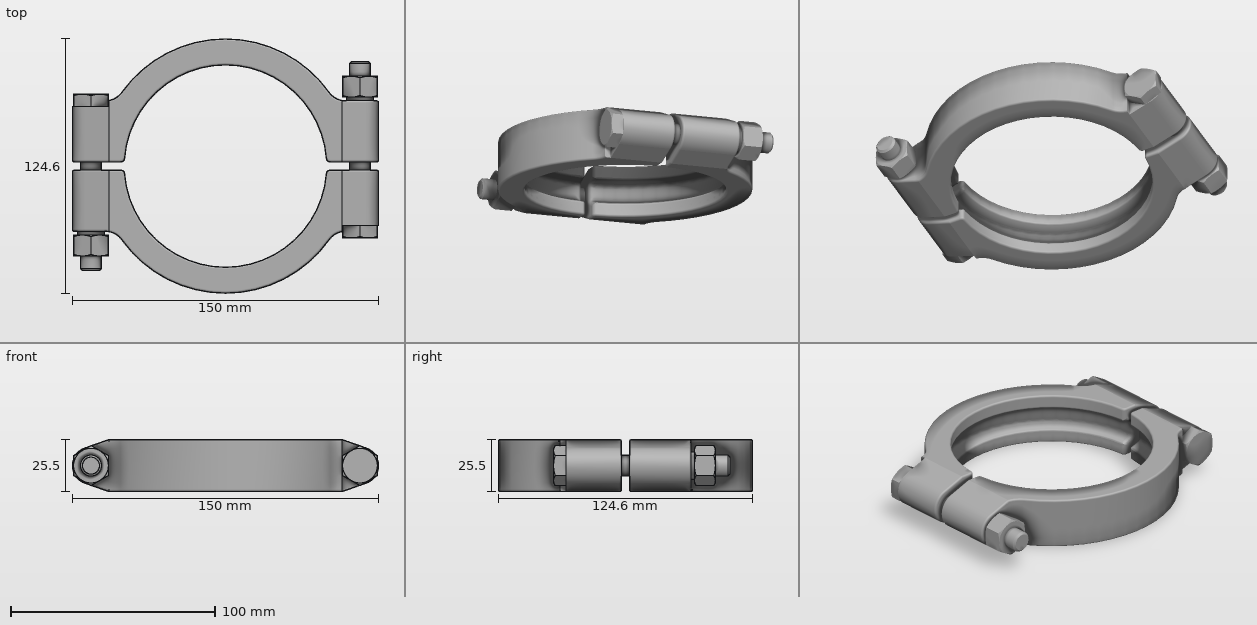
import cadquery as cq
import math

HEIGHT = 25.5
OUTER_RADIUS = 62.3
BORE_RADIUS = 49.5
HALF_GAP = 2.0
EDGE_FILLET = 1.0
INNER_GAP_FILLET = 1.9

BOLT_X = 65.87
LUG_RADIUS = 9.13
LUG_END_Y = 32.0
TAPER_START_X = 57.15
BLEND_RADIUS = 10.0
HEAD_SEAT_Y = 29.2

GROOVE_RADIUS = 55.3
GROOVE_MOUTH_HALF_WIDTH = 6.2
GROOVE_TAPER_ANGLE = 20.0
GROOVE_ROOT_FILLET = 2.0

BOLT_DIAMETER = 10.3
BOLT_END_Y = 51.2
BOLT_END_CHAMFER = 1.0
ACROSS_FLATS = 17.0
HEAD_HEIGHT = 6.0
NUT_HEIGHT = 10.2
WASHER_DIAMETER = 13.4
WASHER_THICKNESS = 1.8
HEX_CHAMFER_ANGLE = 30.0

TOLERANCE = 0.01
LUG_OUTER_X = BOLT_X + LUG_RADIUS


def make_plan():
    """Outline of the +Y half with both lugs, before boring, full height."""
    blend_y = LUG_END_Y + BLEND_RADIUS
    blend_x = math.sqrt((OUTER_RADIUS + BLEND_RADIUS) ** 2 - blend_y**2)
    touch_scale = OUTER_RADIUS / (OUTER_RADIUS + BLEND_RADIUS)
    touch_x = blend_x * touch_scale
    touch_y = blend_y * touch_scale
    blend_mid_angle = (math.pi / 2 + math.atan2(blend_y, blend_x)) / 2
    mid_x = blend_x - BLEND_RADIUS * math.cos(blend_mid_angle)
    mid_y = blend_y - BLEND_RADIUS * math.sin(blend_mid_angle)
    return (
        cq.Workplane("XY", origin=(0, 0, -HEIGHT / 2))
        .moveTo(-LUG_OUTER_X, HALF_GAP)
        .lineTo(LUG_OUTER_X, HALF_GAP)
        .lineTo(LUG_OUTER_X, LUG_END_Y)
        .lineTo(blend_x, LUG_END_Y)
        .threePointArc((mid_x, mid_y), (touch_x, touch_y))
        .threePointArc((0, OUTER_RADIUS), (-touch_x, touch_y))
        .threePointArc((-mid_x, mid_y), (-blend_x, LUG_END_Y))
        .lineTo(-LUG_OUTER_X, LUG_END_Y)
        .close()
        .extrude(HEIGHT)
    )


def make_lug_profile():
    """Bar along Y with the taper and round end of the lug on the +X side."""
    half_height = HEIGHT / 2
    inset = BOLT_X - TAPER_START_X
    corner_angle = math.pi - math.atan2(half_height, inset)
    corner_distance = math.hypot(inset, half_height)
    tangent_angle = corner_angle - math.acos(LUG_RADIUS / corner_distance)
    tangent_x = BOLT_X + LUG_RADIUS * math.cos(tangent_angle)
    tangent_z = LUG_RADIUS * math.sin(tangent_angle)
    return (
        cq.Workplane("XZ")
        .moveTo(TAPER_START_X, half_height)
        .lineTo(tangent_x, tangent_z)
        .threePointArc((LUG_OUTER_X, 0), (tangent_x, -tangent_z))
        .lineTo(TAPER_START_X, -half_height)
        .close()
        .extrude(-OUTER_RADIUS)
    )


def make_bore_cutter():
    """Bore with a groove that narrows outward, rounded at its root."""
    root_depth = GROOVE_RADIUS - BORE_RADIUS
    root_half_width = GROOVE_MOUTH_HALF_WIDTH - root_depth * math.tan(math.radians(GROOVE_TAPER_ANGLE))
    cutter = (
        cq.Workplane("XZ")
        .moveTo(0, -HEIGHT)
        .lineTo(BORE_RADIUS, -HEIGHT)
        .lineTo(BORE_RADIUS, -GROOVE_MOUTH_HALF_WIDTH)
        .lineTo(GROOVE_RADIUS, -root_half_width)
        .lineTo(GROOVE_RADIUS, root_half_width)
        .lineTo(BORE_RADIUS, GROOVE_MOUTH_HALF_WIDTH)
        .lineTo(BORE_RADIUS, HEIGHT)
        .lineTo(0, HEIGHT)
        .close()
        .revolve(360, (0, 0, 0), (0, 1, 0))
    )
    root_edges = cq.selectors.RadiusNthSelector(-1)
    return cutter.edges(root_edges).fillet(GROOVE_ROOT_FILLET)


def make_mouth_cutter():
    """Ring that rounds the lower edge where the groove opens into the bore."""
    taper = math.radians(GROOVE_TAPER_ANGLE)
    tangent_length = EDGE_FILLET * math.tan((math.pi / 2 - taper) / 2)
    center_x = BORE_RADIUS + EDGE_FILLET
    center_z = -GROOVE_MOUTH_HALF_WIDTH - tangent_length

    def arc_point(angle):
        return (center_x + EDGE_FILLET * math.cos(angle), center_z + EDGE_FILLET * math.sin(angle))

    bore_angle = math.pi
    flank_angle = math.pi / 2 + taper
    open_corner = (BORE_RADIUS - EDGE_FILLET, -GROOVE_MOUTH_HALF_WIDTH + EDGE_FILLET)
    return (
        cq.Workplane("XZ")
        .moveTo(*arc_point(bore_angle))
        .threePointArc(arc_point((bore_angle + flank_angle) / 2), arc_point(flank_angle))
        .lineTo(*open_corner)
        .close()
        .revolve(360, (0, 0, 0), (0, 1, 0))
    )


def is_inner_gap_edge(edge):
    """True for the edges between the gap faces and the bore or groove."""
    box = edge.BoundingBox()
    on_gap_face = box.ymax < HALF_GAP + TOLERANCE
    reach = max(abs(box.xmin), abs(box.xmax))
    return on_gap_face and box.zlen > TOLERANCE and reach < GROOVE_RADIUS + TOLERANCE


def is_flat_face_edge(edge):
    """True for the outline of the flat faces, except where the lugs join."""
    box = edge.BoundingBox()
    on_flat_face = box.zlen < TOLERANCE and abs(box.zmax) > HEIGHT / 2 - TOLERANCE
    on_lug_joint = box.xlen < TOLERANCE
    return on_flat_face and not on_lug_joint


def fillet_matching(body, is_wanted, radius):
    """Fillet every edge of the body that passes the test."""
    wanted = [edge for edge in body.edges().vals() if is_wanted(edge)]
    return body.newObject(wanted).fillet(radius)


def make_ring_half():
    """Grooved half ring between the two lugs."""
    clip = cq.Workplane("XY").box(2 * TAPER_START_X, 4 * OUTER_RADIUS, HEIGHT)
    ring = make_plan().intersect(clip).cut(make_bore_cutter())
    ring = fillet_matching(ring, is_inner_gap_edge, INNER_GAP_FILLET)
    ring = fillet_matching(ring, is_flat_face_edge, EDGE_FILLET)
    mouth_cutter = make_mouth_cutter()
    return ring.cut(mouth_cutter).cut(mouth_cutter.mirror("XY"))


def is_lug_rim(edge):
    """True for the rims at both lug ends, except where the ring joins."""
    box = edge.BoundingBox()
    middle_y = (HALF_GAP + LUG_END_Y) / 2
    at_end = box.ymax < middle_y or box.ymin > middle_y
    across_x = box.xlen > TOLERANCE
    return at_end and across_x


def make_lug():
    """Lug on the +X side with rounded rims at both ends."""
    lug = make_plan().intersect(make_lug_profile())
    return fillet_matching(lug, is_lug_rim, EDGE_FILLET)


def make_head_lug():
    """Lug on the -X side, cut back to a flat seat for the bolt head."""
    seat_cut = (
        cq.Workplane("XZ", origin=(0, HEAD_SEAT_Y, 0))
        .rect(4 * LUG_OUTER_X, 2 * HEIGHT)
        .extrude(HEAD_SEAT_Y - OUTER_RADIUS)
    )
    return make_lug().mirror("YZ").cut(seat_cut)


def make_rod(diameter, start_y, end_y):
    """Cylinder on the bolt axis of the -X side."""
    return (
        cq.Workplane("XZ", origin=(-BOLT_X, start_y, 0))
        .circle(diameter / 2)
        .extrude(start_y - end_y)
    )


def make_hexagon(start_y, end_y, round_start):
    """Hexagonal prism on the bolt axis with its corners turned off conically.

    The corners at end_y are always turned off, those at start_y on request.
    """
    across_corners = ACROSS_FLATS / math.cos(math.pi / 6)
    height = abs(end_y - start_y)
    direction = math.copysign(1, end_y - start_y)
    corner_depth = (across_corners - ACROSS_FLATS) / 2
    corner_length = corner_depth * math.tan(math.radians(HEX_CHAMFER_ANGLE))
    plane = cq.Plane(origin=(-BOLT_X, start_y, 0), xDir=(0, 0, 1), normal=(0, direction, 0))
    prism = cq.Workplane(plane).polygon(6, across_corners).extrude(height)
    turned = cq.Workplane(plane).circle(across_corners / 2).extrude(height)
    ends = turned.faces(cq.selectors.DirectionMinMaxSelector(plane.zDir, True))
    turned = ends.chamfer(corner_length, corner_depth)
    if round_start:
        ends = turned.faces(cq.selectors.DirectionMinMaxSelector(plane.zDir, False))
        turned = ends.chamfer(corner_length, corner_depth)
    return prism.intersect(turned)


def make_bolt():
    """Bolt on the -X side with its head at +Y and its washer and nut at -Y."""
    nut_start_y = -LUG_END_Y - WASHER_THICKNESS
    shank = make_rod(BOLT_DIAMETER, HEAD_SEAT_Y, -BOLT_END_Y).faces("<Y").chamfer(BOLT_END_CHAMFER)
    head = make_hexagon(HEAD_SEAT_Y, HEAD_SEAT_Y + HEAD_HEIGHT, round_start=False)
    washer = make_rod(WASHER_DIAMETER, -LUG_END_Y, nut_start_y)
    nut = make_hexagon(nut_start_y, nut_start_y - NUT_HEIGHT, round_start=True)
    return shank.union(head).union(washer).union(nut)


def make_clamp_half():
    return make_ring_half().union(make_lug()).union(make_head_lug())


def half_turn(body):
    """The same body turned half way round the ring axis."""
    return body.rotate((0, 0, 0), (0, 0, 1), 180)


clamp_half = make_clamp_half()
bolt = make_bolt()
result = clamp_half.union(half_turn(clamp_half)).union(bolt).union(half_turn(bolt))